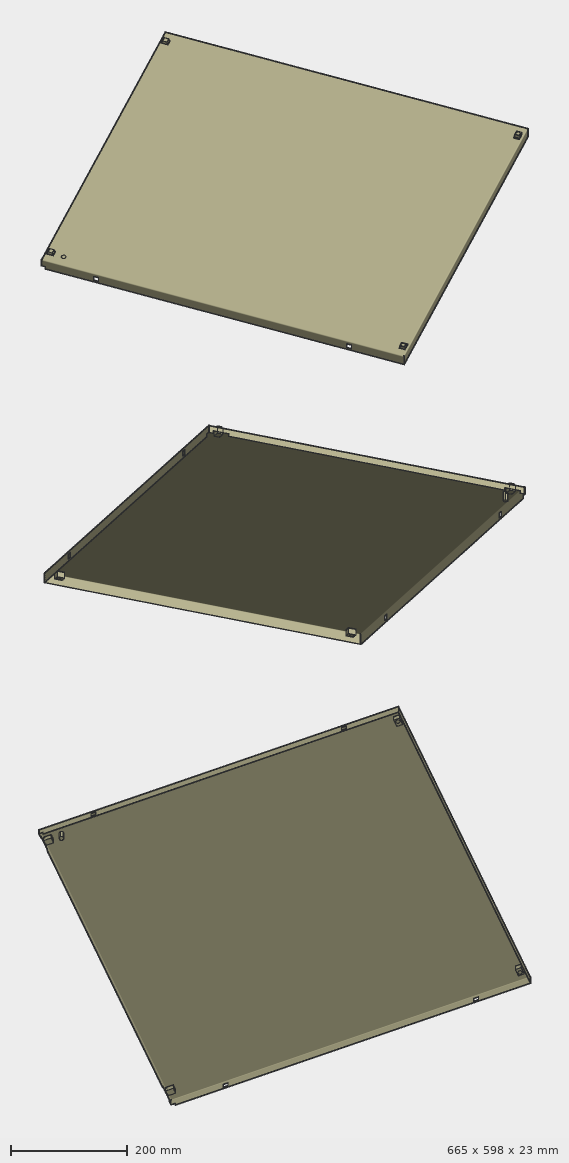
import cadquery as cq
import math

length_x = 665.0
width_y = 598.0
panel_height = 19.0
overall_height = 23.0
sheet = 1.0
bend_radius = 2.0
left_flange_bottom = 5.0

corner_notch_length = 8.0
flange_hole_size = 8.5
flange_hole_x = 231.5
flange_hole_z = 8.5
relief_start = 9.0
relief_end = 38.5
relief_top = 10.0

latch_foot_start_x = 2.0
latch_window_start_x = 3.0
latch_head_start_x = 4.0
latch_head_end_x = 14.5
latch_window_end_x = 16.0
latch_start_y = 18.0
latch_end_y = 28.5
latch_draft = 15

sleeve_start_x = 5.0
sleeve_end_x = 16.0
sleeve_start_y = 17.0
sleeve_end_y = 28.0
sleeve_window_end_y = 31.0
sleeve_draft = 8.5
pin_diameter = 7.0

foot_bottom = 8.0

stud_inset_x = 33.0
stud_inset_y = 22.0
stud_sides = 6
stud_corner_diameter = 8.5
stud_bottom = 2.0

left = -length_x / 2
right = length_x / 2
back = width_y / 2
flat_y = back - bend_radius
ceiling = panel_height - sheet
head_height = overall_height - panel_height


def block(x_start, x_end, y_start, y_end, z_start, z_end):
    """A box given by its limits along each axis; each pair may come in either order."""
    sizes = [abs(x_end - x_start), abs(y_end - y_start), abs(z_end - z_start)]
    corner = (min(x_start, x_end), min(y_start, y_end), min(z_start, z_end))
    return cq.Workplane("XY").box(*sizes, centered=False).translate(corner)


def tapered_head(x_start, x_end, y_start, y_end, draft):
    """A block that stands on the panel's top face and narrows upward."""
    return (
        cq.Workplane("XY", origin=((x_start + x_end) / 2, (y_start + y_end) / 2, panel_height))
        .rect(abs(x_end - x_start), abs(y_end - y_start))
        .extrude(head_height, taper=draft)
    )


def channel(plane, bend_axis, span, half_length):
    """A bent sheet, open below, with flanges `span` apart over the outside."""
    outside = cq.Workplane(plane).rect(span, 2 * panel_height).extrude(half_length, both=True)
    outside = outside.edges(bend_axis).fillet(bend_radius)
    inside = cq.Workplane(plane).rect(span - 2 * sheet, 2 * ceiling).extrude(half_length, both=True)
    inside = inside.edges(bend_axis).fillet(bend_radius - sheet)
    below = block(left, right, -back, back, -panel_height, 0)
    return outside.cut(inside).cut(below)


def latch_window(side):
    return block(
        left + latch_window_start_x,
        left + latch_window_end_x,
        side * (back - latch_start_y),
        side * (back - latch_end_y),
        ceiling,
        panel_height,
    )


def sleeve_window(side):
    return block(
        right - sleeve_start_x,
        right - sleeve_end_x,
        side * (back - sleeve_start_y),
        side * (back - sleeve_window_end_y),
        ceiling,
        panel_height,
    )


def latch_relief(side):
    """The stretch of the left flange that is cut higher below a latch."""
    return block(
        left,
        left + sheet,
        side * (back - relief_start),
        side * (back - relief_end),
        0,
        relief_top,
    )


def make_panel():
    side_flanges = channel("XZ", "|Y", length_x, flat_y)
    end_flanges = channel("YZ", "|X", width_y, length_x / 2)
    end_flanges = end_flanges.cut(block(left, right, -flat_y, flat_y, 0, panel_height))
    panel = side_flanges.union(end_flanges)

    panel = panel.cut(block(left, left + corner_notch_length, -back, back, 0, left_flange_bottom))

    for x in (-flange_hole_x, flange_hole_x):
        hole = cq.Workplane("XY").box(flange_hole_size, 2 * width_y, flange_hole_size)
        panel = panel.cut(hole.translate((x, 0, flange_hole_z)))

    for side in (-1, 1):
        panel = panel.cut(latch_relief(side)).cut(latch_window(side)).cut(sleeve_window(side))
    return panel


def make_latch(side):
    """A foot under the panel, with a neck and a tapered head through the window."""
    y_start = side * (back - latch_start_y)
    y_end = side * (back - latch_end_y)
    foot_start = left + latch_foot_start_x
    foot_end = left + latch_window_end_x
    head_start = left + latch_head_start_x
    head_end = left + latch_head_end_x
    foot = block(foot_start, foot_end, y_start, y_end, foot_bottom, ceiling)
    neck = block(head_start, head_end, y_start, y_end, ceiling, panel_height)
    head = tapered_head(head_start, head_end, y_start, y_end, latch_draft)
    return foot.union(neck).union(head)


def make_pin(side):
    """An upright pin, flush with both ends of its sleeve."""
    x = right - (sleeve_start_x + sleeve_end_x) / 2
    y = side * (back - (sleeve_start_y + sleeve_end_y) / 2)
    pin = cq.Workplane("XY", origin=(x, y, foot_bottom))
    return pin.circle(pin_diameter / 2).extrude(overall_height - foot_bottom)


def make_sleeve(side):
    """A foot under the panel, with a square tapered head through the window, bored for its pin."""
    x_start = right - sleeve_start_x
    x_end = right - sleeve_end_x
    y_start = side * (back - sleeve_start_y)
    y_end = side * (back - sleeve_end_y)
    foot_end_y = side * (back - sleeve_window_end_y)
    foot = block(x_start, x_end, y_start, foot_end_y, foot_bottom, ceiling)
    neck = block(x_start, x_end, y_start, y_end, ceiling, panel_height)
    head = tapered_head(x_start, x_end, y_start, y_end, sleeve_draft)
    return foot.union(neck).union(head).cut(make_pin(side))


def make_stud():
    """A hexagonal post that hangs from the underside of the panel, two corners along Y."""
    corner_radius = stud_corner_diameter / 2
    corners = []
    for index in range(stud_sides):
        angle = math.pi / 2 + 2 * math.pi * index / stud_sides
        corners.append((corner_radius * math.cos(angle), corner_radius * math.sin(angle)))
    stud = cq.Workplane("XY", origin=(left + stud_inset_x, -back + stud_inset_y, stud_bottom))
    return stud.polyline(corners).close().extrude(ceiling - stud_bottom)


panel = make_panel()
stud = make_stud()
latches = [make_latch(side) for side in (-1, 1)]
sleeves = [make_sleeve(side) for side in (-1, 1)]
pins = [make_pin(side) for side in (-1, 1)]

bodies = [panel, stud, *latches, *sleeves, *pins]
result = cq.Compound.makeCompound([body.val() for body in bodies])